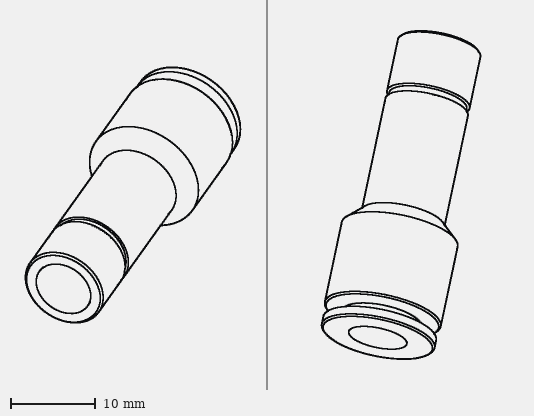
import cadquery as cq

length = 37.2
bore_radius = 3.5

stem_radius = 5.0
stem_edge_chamfer = 0.25
groove_start = 7.0
groove_end = 7.77
groove_radius = 4.7
groove_chamfer_length = 0.2

body_radius = 7.0
body_length = 10.38
body_edge_chamfer = 0.22
body_face_inner_radius = 4.9
body_face_rise = 0.3

neck_radius = 4.7
flange_radius = 6.8
flange_thickness = 1.2
flange_edge_chamfer = 0.22
neck_gap = 1.3
neck_root_chamfer = 0.2

flange_start = length - flange_thickness
body_face = flange_start - neck_gap
body_rim = body_face - body_face_rise
body_start = body_rim - body_length
cone_start = body_start - (body_radius - stem_radius)


def stem_outline():
    """Outer (radius, Y) points of the stem with its groove."""
    return [
        (stem_radius - stem_edge_chamfer, 0),
        (stem_radius, stem_edge_chamfer),
        (stem_radius, groove_start - groove_chamfer_length),
        (groove_radius, groove_start),
        (groove_radius, groove_end),
        (stem_radius, groove_end),
        (stem_radius, cone_start),
    ]


def body_outline():
    """Outer (radius, Y) points of the body and its shallow conical end face."""
    return [
        (body_radius, body_start),
        (body_radius, body_rim - body_edge_chamfer),
        (body_radius - body_edge_chamfer, body_rim),
        (body_face_inner_radius, body_face),
        (neck_radius, body_face),
    ]


def collar_outline():
    """Outer (radius, Y) points of the release collar."""
    return [
        (neck_radius, flange_start - neck_root_chamfer),
        (neck_radius + neck_root_chamfer, flange_start),
        (flange_radius, flange_start),
        (flange_radius, length - flange_edge_chamfer),
        (flange_radius - flange_edge_chamfer, length),
    ]


half_section = (
    [(bore_radius, 0)]
    + stem_outline()
    + body_outline()
    + collar_outline()
    + [(bore_radius, length)]
)
result = (
    cq.Workplane("XY")
    .polyline(half_section)
    .close()
    .revolve(360, (0, 0, 0), (0, 1, 0))
)